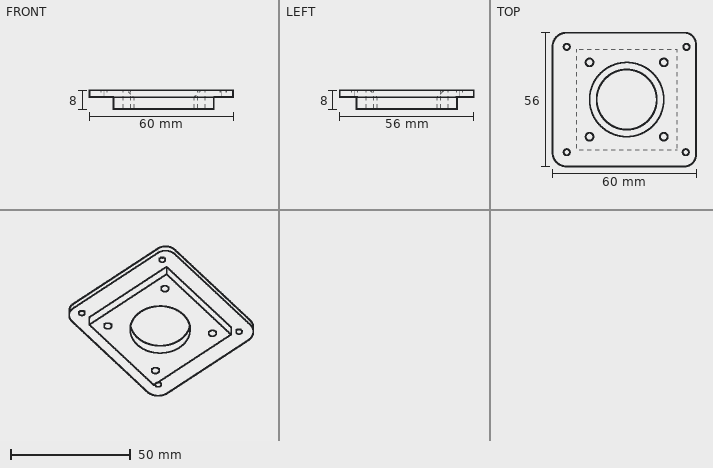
import cadquery as cq

plate_length = 60.0
plate_width = 56.0
plate_thickness = 3.0
left_corner_radius = 6.0
right_corner_radius = 5.0

total_height = 8.0
boss_side = 42.0
bore_x = 1.0

bore_diameter = 25.0
countersink_depth = 3.0
countersink_diameter = bore_diameter + 2 * countersink_depth

inner_hole_diameter = 3.2
inner_hole_spacing = 31.0

corner_hole_diameter = 2.5
corner_hole_inset = 6.0
right_hole_x = 26.0
lower_right_hole_shift = 0.3

boss_height = total_height - plate_thickness


def make_plate():
    plate = cq.Workplane("XY").box(
        plate_length, plate_width, plate_thickness, centered=(True, True, False)
    )
    plate = plate.translate((0, 0, -plate_thickness))
    plate = plate.edges("|Z and <X").fillet(left_corner_radius)
    return plate.edges("|Z and >X").fillet(right_corner_radius)


def make_boss():
    return (
        cq.Workplane("XY", origin=(bore_x, 0, -plate_thickness))
        .rect(boss_side, boss_side)
        .extrude(-boss_height)
    )


def make_bore():
    bore = cq.Workplane("XY", origin=(bore_x, 0, 0)).circle(bore_diameter / 2).extrude(-total_height)
    countersink = cq.Workplane("XY").add(
        cq.Solid.makeCone(
            countersink_diameter / 2,
            bore_diameter / 2,
            countersink_depth,
            pnt=cq.Vector(bore_x, 0, 0),
            dir=cq.Vector(0, 0, -1),
        )
    )
    return bore.union(countersink)


def make_inner_holes():
    return (
        cq.Workplane("XY", origin=(bore_x, 0, 0))
        .rect(inner_hole_spacing, inner_hole_spacing, forConstruction=True)
        .vertices()
        .circle(inner_hole_diameter / 2)
        .extrude(-total_height)
    )


def make_corner_holes():
    left_hole_x = corner_hole_inset - plate_length / 2
    hole_y = plate_width / 2 - corner_hole_inset
    centers = [
        (left_hole_x, hole_y),
        (left_hole_x, -hole_y),
        (right_hole_x, hole_y),
        (right_hole_x - lower_right_hole_shift, -hole_y),
    ]
    return cq.Workplane("XY").pushPoints(centers).circle(corner_hole_diameter / 2).extrude(-total_height)


result = make_plate().union(make_boss())
for cutter in (make_bore(), make_inner_holes(), make_corner_holes()):
    result = result.cut(cutter)